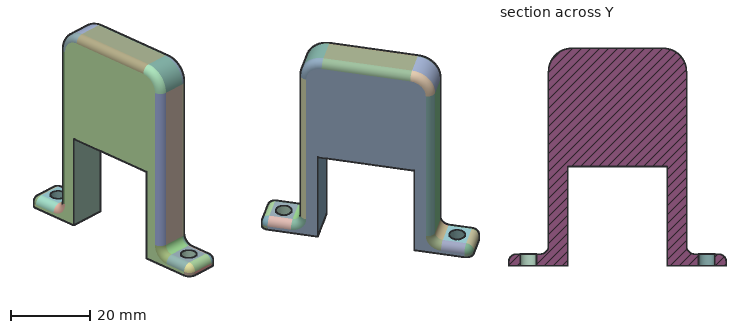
import cadquery as cq

width = 55.0
depth = 10.0
height = 55.0

body_width = 35.0
opening_width = 25.0
opening_height = 25.0
crown_radius = 6.0

foot_thickness = 3.0
foot_root_radius = 2.0
hole_diameter = 4.0
hole_end_distance = 5.0

edge_radius = 2.0

tolerance = 0.005


def make_outline_solid():
    """Body standing on a full-width foot plate, before the opening is cut."""
    foot = cq.Workplane("XY").box(width, depth, foot_thickness, centered=(True, True, False))
    body = cq.Workplane("XY").box(body_width, depth, height, centered=(True, True, False))
    body = body.edges("|Y and >Z").fillet(crown_radius)
    half_body = body_width / 2
    root_corners = cq.selectors.BoxSelector(
        (-half_body - tolerance, -depth, foot_thickness - tolerance),
        (half_body + tolerance, depth, foot_thickness + tolerance),
    )
    return body.union(foot).edges("|Y").edges(root_corners).fillet(foot_root_radius)


def round_outer_edges(solid):
    """Round the front and back rims and the foot ends, leaving the base sharp."""
    rims = solid.faces("<Y or >Y").edges()
    foot_ends = solid.faces("<X or >X").edges()
    base_edges = solid.faces("<Z").edges().vals()
    outer_edges = set(rims.vals() + foot_ends.vals()) - set(base_edges)
    return solid.newObject(list(outer_edges)).fillet(edge_radius)


def make_opening():
    return cq.Workplane("XY").box(
        opening_width, depth, opening_height, centered=(True, True, False)
    )


def make_foot_holes():
    hole_offset = width / 2 - hole_end_distance
    return (
        cq.Workplane("XY")
        .pushPoints([(-hole_offset, 0), (hole_offset, 0)])
        .circle(hole_diameter / 2)
        .extrude(foot_thickness)
    )


result = round_outer_edges(make_outline_solid()).cut(make_opening()).cut(make_foot_holes())